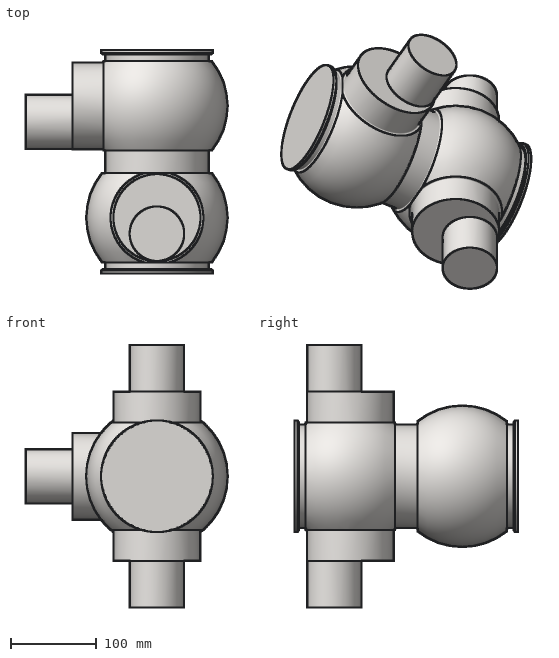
import cadquery as cq
import math

ball_radius = 82.5
ball_half_length = 52.0
ball_pitch = 130.2
ball_y = ball_pitch / 2

overall_length = 260.5
neck_radius = 60.5
flange_radius = 65.0
flange_rim = 3.7
flange_taper = 1.8
flange_foot_radius = 62.3

seat_height = 62.3
boss_radius = 50.7
boss_height = 98.5
pipe_radius = 31.8
pipe_height = 152.8
pipe_offset = 18.5

root_fillet = 1.0

AXIS_Y = cq.Vector(0, 1, 0)


def rod(radius, start, direction, length):
    return cq.Workplane(obj=cq.Solid.makeCylinder(radius, length, start, direction))


def ball(center_y, port_directions):
    """Ball cut flat at both Y ends and at the seat of each port."""
    center = cq.Vector(0, center_y, 0)
    face_radius = math.sqrt(ball_radius**2 - ball_half_length**2)
    body = (
        cq.Workplane("XY")
        .moveTo(0, -ball_half_length)
        .lineTo(face_radius, -ball_half_length)
        .threePointArc((ball_radius, 0), (face_radius, ball_half_length))
        .lineTo(0, ball_half_length)
        .close()
        .revolve(360, (0, 0, 0), (0, 1, 0))
        .translate(center)
    )
    for direction in port_directions:
        body = body.cut(rod(ball_radius, center + direction * seat_height, direction, ball_radius))
    for direction in port_directions:
        body = body.union(port(center, direction))
    return body


def port(center, direction):
    """Boss standing on a ball seat, carrying a smaller eccentric pipe."""
    boss = rod(boss_radius, center, direction, boss_height)
    pipe_start = center - AXIS_Y * pipe_offset + direction * seat_height
    pipe = rod(pipe_radius, pipe_start, direction, pipe_height - seat_height)
    return boss.union(pipe)


def spine():
    """Central neck with a bevelled flange at each end, revolved about Y."""
    end = overall_length / 2
    rim_back = end - flange_rim
    bevel_back = rim_back - flange_taper
    return (
        cq.Workplane("XY")
        .moveTo(0, -end)
        .lineTo(flange_radius, -end)
        .lineTo(flange_radius, -rim_back)
        .lineTo(flange_foot_radius, -bevel_back)
        .lineTo(neck_radius, -bevel_back)
        .lineTo(neck_radius, bevel_back)
        .lineTo(flange_foot_radius, bevel_back)
        .lineTo(flange_radius, rim_back)
        .lineTo(flange_radius, end)
        .lineTo(0, end)
        .close()
        .revolve(360, (0, 0, 0), (0, 1, 0))
    )


front_ball = ball(-ball_y, [cq.Vector(0, 0, 1), cq.Vector(0, 0, -1)])
rear_ball = ball(ball_y, [cq.Vector(-1, 0, 0)])

body = spine().union(front_ball).union(rear_ball)


def root_edges(shape):
    """Circles where the bosses meet their seats and the necks meet the ball faces."""
    tolerance = 0.003
    face_positions = (ball_y - ball_half_length, ball_y + ball_half_length)

    def is_root(edge):
        if edge.geomType() != "CIRCLE":
            return False
        center = edge.arcCenter()
        seat_distance = math.hypot(center.x, center.z)
        on_seat = abs(seat_distance - seat_height) < tolerance
        on_face = any(abs(abs(center.y) - place) < tolerance for place in face_positions)
        boss_root = on_seat and abs(edge.radius() - boss_radius) < tolerance
        neck_root = on_face and abs(edge.radius() - neck_radius) < tolerance
        return boss_root or neck_root

    return shape.edges().filter(is_root)


result = root_edges(body).fillet(root_fillet)